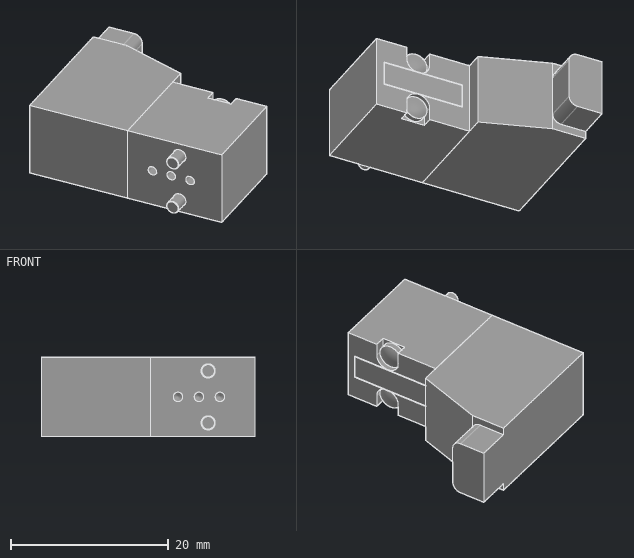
import cadquery as cq
import math

length = 27.18
height = 10.1

coil_length = 13.85
coil_depth = 18.4
coil_slope_end_depth = 15.38

connector_length = 4.73
connector_depth = 4.55
connector_height = 8.0
connector_corner_radius = 1.2

valve_length = length - coil_length
valve_depth = 13.05
valve_center_x = coil_length + valve_length / 2

plate_length = 11.2
plate_thickness = 0.1
notch_width = 3.25
notch_depth = 1.47

port_diameter = 1.2
port_depth = 2.0
port_spacing = 2.66
port_middle_x = 20.03
drill_point_angle = 118.0

screw_x = 21.2
screw_spacing = 6.6
screw_diameter = 1.7
screw_clearance_diameter = 1.8
screw_projection = 2.0
screw_tip_chamfer = 0.05
head_diameter = 3.2
head_rim_depth = 0.8
head_dome_rise = 0.6

screw_heights = [-screw_spacing / 2, screw_spacing / 2]
notch_floor_y = valve_depth - notch_depth
plate_height = screw_spacing - notch_width


def y_cylinder(diameter, x, z, y_start, y_end):
    """Round bar along +Y from y_start to y_end."""
    return cq.Workplane(
        cq.Solid.makeCylinder(diameter / 2, y_end - y_start, cq.Vector(x, y_start, z), cq.Vector(0, 1, 0))
    )


def make_coil_housing():
    outline = [
        (0, 0),
        (coil_length, 0),
        (coil_length, coil_slope_end_depth),
        (connector_length, coil_depth),
        (0, coil_depth),
    ]
    body = cq.Workplane("XY").polyline(outline).close().extrude(height / 2, both=True)
    connector = (
        cq.Workplane("XY")
        .box(connector_length, connector_depth, connector_height, centered=(False, False, True))
        .edges("|Y and >X")
        .fillet(connector_corner_radius)
        .translate((0, coil_depth, 0))
    )
    return body.union(connector)


def make_port(x):
    """Blind drilled port with a conical bottom."""
    radius = port_diameter / 2
    point_length = radius / math.tan(math.radians(drill_point_angle / 2))
    profile = [(0, 0), (radius, 0), (radius, port_depth), (0, port_depth + point_length)]
    return cq.Workplane("XY").polyline(profile).close().revolve(360, (0, 0), (0, 1)).translate((x, 0, 0))


def make_screw_notch(z):
    """Round seat for a screw head, open to the back and to the nearer of the top and bottom faces."""
    seat = y_cylinder(notch_width, screw_x, z, notch_floor_y, valve_depth)
    opening_height = height / 2 - abs(z)
    opening_z = math.copysign(abs(z) + opening_height / 2, z)
    opening = (
        cq.Workplane("XY")
        .box(notch_width, notch_depth, opening_height, centered=(True, False, True))
        .translate((screw_x, notch_floor_y, opening_z))
    )
    return seat.union(opening)


def make_valve_block():
    body = (
        cq.Workplane("XY")
        .box(valve_length, valve_depth, height, centered=(False, False, True))
        .translate((coil_length, 0, 0))
    )
    plate = (
        cq.Workplane("XY")
        .box(plate_length, plate_thickness, plate_height, centered=(True, False, True))
        .translate((valve_center_x, valve_depth, 0))
    )
    body = body.union(plate)
    for step in (-1, 0, 1):
        body = body.cut(make_port(port_middle_x + step * port_spacing))
    for z in screw_heights:
        body = body.cut(make_screw_notch(z))
        body = body.cut(y_cylinder(screw_clearance_diameter, screw_x, z, 0, notch_floor_y))
    return body


def make_screw(z):
    """Screw through the valve block: chamfered tip, plain shank, and a domed head on the notch floor."""
    shank_radius = screw_diameter / 2
    head_radius = head_diameter / 2
    rim_y = notch_floor_y + head_rim_depth
    dome_radius = (head_radius**2 + head_dome_rise**2) / (2 * head_dome_rise)
    dome_mid_x = head_radius / 2
    dome_mid_y = rim_y + head_dome_rise - dome_radius + math.sqrt(dome_radius**2 - dome_mid_x**2)
    return (
        cq.Workplane("XY")
        .moveTo(0, -screw_projection)
        .lineTo(shank_radius - screw_tip_chamfer, -screw_projection)
        .lineTo(shank_radius, screw_tip_chamfer - screw_projection)
        .lineTo(shank_radius, notch_floor_y)
        .lineTo(head_radius, notch_floor_y)
        .lineTo(head_radius, rim_y)
        .threePointArc((dome_mid_x, dome_mid_y), (0, rim_y + head_dome_rise))
        .close()
        .revolve(360, (0, 0), (0, 1))
        .translate((screw_x, 0, z))
    )


coil_housing = make_coil_housing()
valve_block = make_valve_block()
screws = [make_screw(z) for z in screw_heights]

result = cq.Compound.makeCompound(
    [coil_housing.val(), valve_block.val(), *[screw.val() for screw in screws]]
)